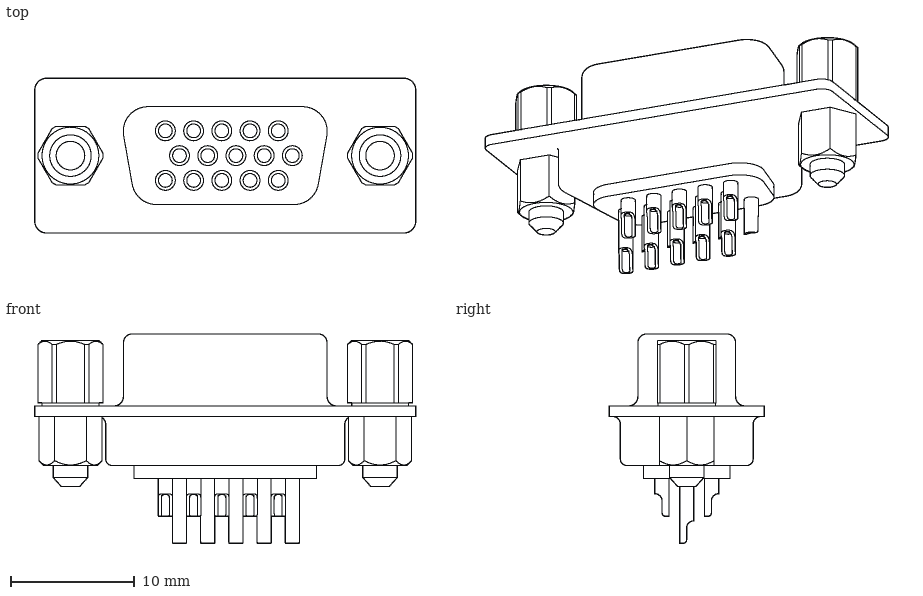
import cadquery as cq
import math


FLANGE_LENGTH = 30.8
FLANGE_WIDTH = 12.55
FLANGE_THICKNESS = 0.85
FLANGE_CORNER_RADIUS = 1.0

D_SIDE_ANGLE = 10.0
D_CORNER_RADIUS = 2.0

SHELL_LENGTH = 16.48
SHELL_WIDTH = 7.92
SHELL_HEIGHT = 5.82
SHELL_FILLET = 0.75

REAR_LENGTH = 19.35
REAR_WIDTH = 10.75
REAR_BOTTOM = -4.85
REAR_ROOT_FILLET = 0.62
REAR_EDGE_FILLET = 0.55

INSERT_LENGTH = 14.8
INSERT_WIDTH = 7.02
INSERT_BOTTOM = -5.9

CONTACTS_PER_ROW = 5
CONTACT_PITCH = 2.28
ROW_SPACING = 2.0
OUTER_ROW_SHIFT = -0.28
MIDDLE_ROW_SHIFT = OUTER_ROW_SHIFT + CONTACT_PITCH / 2

SOCKET_DIAMETER = 1.1
SOCKET_MOUTH_DIAMETER = 1.6
SOCKET_DEPTH = 3.08

PIN_DIAMETER = 1.17
OUTER_PIN_BOTTOM = -8.95
MIDDLE_PIN_BOTTOM = -11.12
CUP_LENGTH = 1.82
CUP_BORE_DIAMETER = 0.65
CUP_ROOT_RADIUS = 0.55
CUP_TIP_RADIUS = 0.3

JACKSCREW_X = 12.5
JACK_TOP = 5.3
JACK_ACROSS_FLATS = 4.75
JACK_CORNER_DIAMETER = 5.27
JACK_CHAMFER = 0.35
JACK_COLLAR_DIAMETER = 4.62
JACK_COLLAR_HEIGHT = 0.25

JACK_BORE_DIAMETER = 2.3
JACK_MOUTH_DIAMETER = 3.35
JACK_BORE_DEPTH = 3.7
DRILL_TIP_ANGLE = 118.0

NUT_ACROSS_FLATS = 4.45
NUT_CORNER_DIAMETER = NUT_ACROSS_FLATS / math.cos(math.radians(30))
NUT_CHAMFER = 0.4
STUD_DIAMETER = 2.8
STUD_TIP_DIAMETER = 1.48
STUD_CONE_TOP = -5.8
STUD_BOTTOM = -6.53


def d_prism(length, width, bottom, top):
    """Prism with a rounded D outline, wider towards +Y; length is its greatest X extent."""
    slope = math.radians(D_SIDE_ANGLE)
    half_width = width / 2
    wide_centre_x = length / 2 - D_CORNER_RADIUS
    side_line_mid_x = (
        wide_centre_x
        - (half_width - D_CORNER_RADIUS) * math.tan(slope)
        + D_CORNER_RADIUS / math.cos(slope)
    )
    wide_x = side_line_mid_x + half_width * math.tan(slope)
    narrow_x = side_line_mid_x - half_width * math.tan(slope)
    corners = [
        (-narrow_x, -half_width),
        (narrow_x, -half_width),
        (wide_x, half_width),
        (-wide_x, half_width),
    ]
    prism = cq.Workplane("XY").workplane(offset=bottom).polyline(corners).close().extrude(top - bottom)
    return prism.edges("|Z").fillet(D_CORNER_RADIUS)


def cylinder(diameter, bottom, top):
    """Vertical cylinder on the Z axis."""
    return cq.Workplane("XY").workplane(offset=bottom).circle(diameter / 2).extrude(top - bottom)


def hexagon_blank(across_flats, bottom, top):
    """Hexagonal prism with corners on the X axis."""
    corner_diameter = across_flats / math.cos(math.radians(30))
    return cq.Workplane("XY").workplane(offset=bottom).polygon(6, corner_diameter).extrude(top - bottom)


def revolve_profile(points):
    """Solid of revolution about Z from (radius, height) points."""
    return cq.Workplane("XZ").polyline(points).close().revolve(360, (0, 0, 0), (0, 1, 0))


def make_shell():
    """Flange with the front shell above it and the rear shell below it."""
    flange = (
        cq.Workplane("XY")
        .box(FLANGE_LENGTH, FLANGE_WIDTH, FLANGE_THICKNESS, centered=(True, True, False))
        .translate((0, 0, -FLANGE_THICKNESS))
        .edges("|Z")
        .fillet(FLANGE_CORNER_RADIUS)
    )
    front = d_prism(SHELL_LENGTH, SHELL_WIDTH, 0, SHELL_HEIGHT).faces(">Z").edges().fillet(SHELL_FILLET)
    rear = d_prism(REAR_LENGTH, REAR_WIDTH, REAR_BOTTOM, -FLANGE_THICKNESS)
    rear = rear.faces("<Z").edges().fillet(REAR_EDGE_FILLET)
    body = flange.union(front).union(rear)
    body = fillet_root(body, SHELL_LENGTH, SHELL_WIDTH, 0, SHELL_FILLET)
    return fillet_root(body, REAR_LENGTH, REAR_WIDTH, -FLANGE_THICKNESS, REAR_ROOT_FILLET)


def fillet_root(body, length, width, height, radius):
    """Fillet the edge loop where a D-shaped body of this size meets the flange."""
    margin = 0.03
    root = cq.selectors.BoxSelector(
        (-length / 2 - margin, -width / 2 - margin, height - margin),
        (length / 2 + margin, width / 2 + margin, height + margin),
        boundingbox=True,
    )
    return body.edges(root).fillet(radius)


def row_points(row):
    """Contact positions in row -1, 0 or 1, counted from -Y to +Y."""
    shift = MIDDLE_ROW_SHIFT if row == 0 else OUTER_ROW_SHIFT
    middle_index = (CONTACTS_PER_ROW - 1) / 2
    return [
        (shift + (index - middle_index) * CONTACT_PITCH, row * ROW_SPACING)
        for index in range(CONTACTS_PER_ROW)
    ]


def make_socket_cutter():
    """Blind contact hole with a 45-degree lead-in, opening at the front face."""
    bore_radius = SOCKET_DIAMETER / 2
    mouth_radius = SOCKET_MOUTH_DIAMETER / 2
    lead_in_bottom = SHELL_HEIGHT - (mouth_radius - bore_radius)
    floor = SHELL_HEIGHT - SOCKET_DEPTH
    return revolve_profile(
        [
            (0, floor),
            (bore_radius, floor),
            (bore_radius, lead_in_bottom),
            (mouth_radius, SHELL_HEIGHT),
            (0, SHELL_HEIGHT),
        ]
    )


def make_pin(bottom):
    """Round pin whose end is cut away on its -Y half to leave an open solder cup."""
    cup_top = bottom + CUP_LENGTH
    below = bottom - PIN_DIAMETER
    cutaway = (
        cq.Workplane("YZ")
        .moveTo(CUP_TIP_RADIUS, below)
        .lineTo(CUP_TIP_RADIUS, bottom)
        .radiusArc((0, bottom + CUP_TIP_RADIUS), CUP_TIP_RADIUS)
        .lineTo(0, cup_top - CUP_ROOT_RADIUS)
        .radiusArc((-CUP_ROOT_RADIUS, cup_top), -CUP_ROOT_RADIUS)
        .lineTo(-PIN_DIAMETER, cup_top)
        .lineTo(-PIN_DIAMETER, below)
        .close()
        .extrude(PIN_DIAMETER, both=True)
    )
    rod = cylinder(PIN_DIAMETER, bottom, INSERT_BOTTOM).rotate((0, 0, 0), (0, 0, 1), 90)
    cup_bore = cylinder(CUP_BORE_DIAMETER, below, cup_top).rotate((0, 0, 0), (0, 0, 1), 90)
    return rod.cut(cup_bore).cut(cutaway)


def make_jackscrew():
    """Hexagonal standoff above the flange, with a nut and pointed stud below it."""
    turned = cylinder(JACK_CORNER_DIAMETER, JACK_COLLAR_HEIGHT, JACK_TOP).faces(">Z").chamfer(JACK_CHAMFER)
    standoff = hexagon_blank(JACK_ACROSS_FLATS, JACK_COLLAR_HEIGHT, JACK_TOP).intersect(turned)
    collar = cylinder(JACK_COLLAR_DIAMETER, -FLANGE_THICKNESS, JACK_COLLAR_HEIGHT)

    nut_envelope = cylinder(NUT_CORNER_DIAMETER, REAR_BOTTOM, -FLANGE_THICKNESS)
    nut_envelope = nut_envelope.faces("<Z").chamfer(NUT_CHAMFER)
    nut = hexagon_blank(NUT_ACROSS_FLATS, REAR_BOTTOM, -FLANGE_THICKNESS).intersect(nut_envelope)
    stud = revolve_profile(
        [
            (0, REAR_BOTTOM),
            (STUD_DIAMETER / 2, REAR_BOTTOM),
            (STUD_DIAMETER / 2, STUD_CONE_TOP),
            (STUD_TIP_DIAMETER / 2, STUD_BOTTOM),
            (0, STUD_BOTTOM),
        ]
    )
    return standoff.union(collar).union(nut).union(stud)


def make_jack_bore_cutter():
    """Countersunk screw hole ending in a drill point."""
    bore_radius = JACK_BORE_DIAMETER / 2
    mouth_radius = JACK_MOUTH_DIAMETER / 2
    bore_bottom = JACK_TOP - JACK_BORE_DEPTH
    tip_depth = bore_radius / math.tan(math.radians(DRILL_TIP_ANGLE / 2))
    return revolve_profile(
        [
            (0, bore_bottom - tip_depth),
            (bore_radius, bore_bottom),
            (bore_radius, JACK_TOP - (mouth_radius - bore_radius)),
            (mouth_radius, JACK_TOP),
            (0, JACK_TOP),
        ]
    )


result = make_shell().union(d_prism(INSERT_LENGTH, INSERT_WIDTH, INSERT_BOTTOM, REAR_BOTTOM))

socket_cutter = make_socket_cutter()
for row in (-1, 0, 1):
    pin = make_pin(MIDDLE_PIN_BOTTOM if row == 0 else OUTER_PIN_BOTTOM)
    if row >= 0:
        pin = pin.rotate((0, 0, 0), (0, 0, 1), 180)
    for x, y in row_points(row):
        result = result.cut(socket_cutter.translate((x, y, 0)))
        result = result.union(pin.translate((x, y, 0)))

jackscrew = make_jackscrew()
jack_bore_cutter = make_jack_bore_cutter()
for x in (-JACKSCREW_X, JACKSCREW_X):
    result = result.union(jackscrew.translate((x, 0, 0)))
    result = result.cut(jack_bore_cutter.translate((x, 0, 0)))